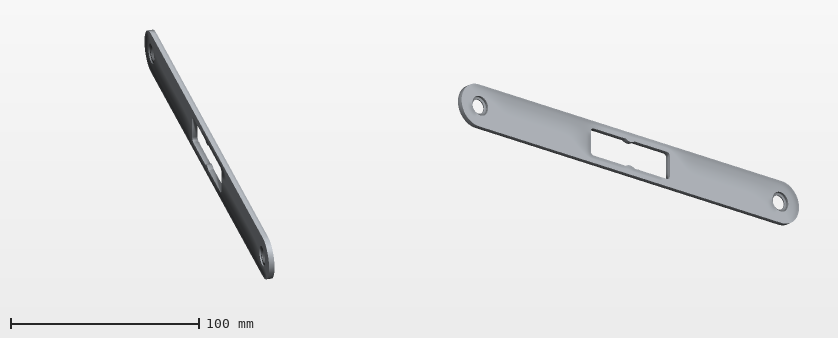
import cadquery as cq

plate_length = 235.0
plate_height = 24.0
plate_thickness = 3.0
front_y = -plate_thickness / 2

hole_spacing = 209.0
hole_diameter = 8.0
counterbore_diameter = 11.0
front_counterbore_depth = 0.8
back_counterbore_depth = 1.5

window_length = 55.0
window_height = 15.5
window_corner_radius = 2.0

bump_width = 6.0
bump_rise = 1.0


def front_workplane():
    """Sketch plane on the front face: local x is +X, local y is +Z, normal is -Y."""
    return cq.Workplane("XZ", origin=(0, front_y, 0))


def make_plate():
    """Strip with fully rounded ends."""
    return front_workplane().slot2D(plate_length, plate_height).extrude(-plate_thickness)


def make_bump(side):
    """Segment-shaped bump on the upper (side=1) or lower (side=-1) window edge."""
    edge_z = side * window_height / 2
    half_width = bump_width / 2
    return (
        front_workplane()
        .moveTo(-half_width, edge_z)
        .threePointArc((0, edge_z - side * bump_rise), (half_width, edge_z))
        .close()
        .extrude(-plate_thickness)
    )


def make_window():
    """Cutter for the round-cornered window, less the two bumps."""
    window = (
        front_workplane()
        .rect(window_length, window_height)
        .extrude(-plate_thickness)
        .edges("|Y")
        .fillet(window_corner_radius)
    )
    for side in (1, -1):
        window = window.cut(make_bump(side))
    return window


def make_hole_cutter(x):
    """Cutter for a through hole counterbored from the front and the back."""
    front_centre = front_workplane().center(x, 0)
    back_centre = front_centre.workplane(offset=-plate_thickness)
    bore_radius = counterbore_diameter / 2
    through_hole = front_centre.circle(hole_diameter / 2).extrude(-plate_thickness)
    front_bore = front_centre.circle(bore_radius).extrude(-front_counterbore_depth)
    back_bore = back_centre.circle(bore_radius).extrude(back_counterbore_depth)
    return through_hole.union(front_bore).union(back_bore)


result = make_plate().cut(make_window())
for hole_x in (-hole_spacing / 2, hole_spacing / 2):
    result = result.cut(make_hole_cutter(hole_x))